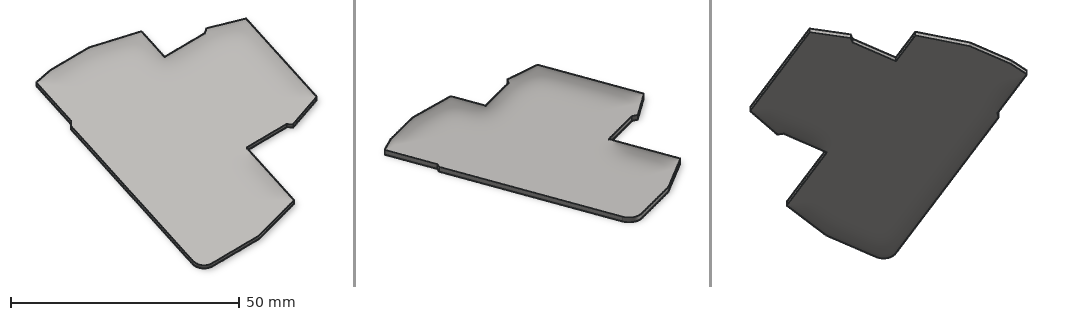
import cadquery as cq

length = 63.25
height = 48.2
thickness = 1.25

shoulder_y = 27.65
shoulder_inset = 3.2
side_top_y = 15.75
corner_radius = 3.15

slant_top_y = 5.3
slant_inset = 0.9
step_height = 0.8
step_start_x = 14.0
step_end_x = step_start_x + step_height

tab_center_x = 27.1
neck_half_width = 15.25
barb_half_width = 16.1
head_half_width = 13.15
neck_top_y = 38.5
barb_y = 39.6

tab_half = [
    (neck_half_width, shoulder_y),
    (neck_half_width, neck_top_y),
    (barb_half_width, barb_y),
    (head_half_width, height),
]
tab_right = [(tab_center_x + offset, y) for offset, y in tab_half]
tab_left = [(tab_center_x - offset, y) for offset, y in reversed(tab_half)]

base_right = [
    (step_end_x, 0),
    (length, 0),
    (length, side_top_y),
    (length - shoulder_inset, shoulder_y),
]
base_left = [
    (shoulder_inset, shoulder_y),
    (0, side_top_y),
    (0, slant_top_y),
    (slant_inset, step_height),
    (step_start_x, step_height),
]
outline = base_right + tab_right + tab_left + base_left

plate = cq.Workplane("XY").polyline(outline).close().extrude(thickness)

lower_right_edge = cq.selectors.NearestToPointSelector((length, 0, thickness / 2))
result = plate.edges("|Z").edges(lower_right_edge).fillet(corner_radius)